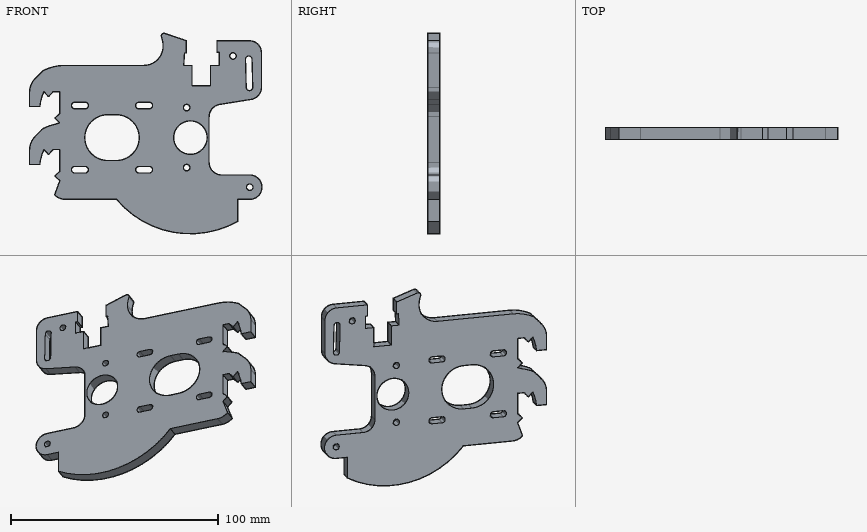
import cadquery as cq
import math


length = 112.3
thickness = 6.0
deck_z = 81.5
belly_radius = 46.5
belly_x = 77.7
belly_end_x = 100.7
belly_z = belly_radius
bolt_diameter = 3.0

hook_pitch = 28.0
hook_tip_z = 61.5
hook_tip_width = 5.0
hook_roof_z = 68.6
hook_wall_x = 14.6
hook_flank_z = 68.4
hook_corner_x = 2.5
hook_corner_z = 74.8
hook_back_x = 6.5
hook_back_z = 78.9
hook_crest_x = 17.0
lower_back_x = 12.4
hook_bulge = 0.28
tooth_depth = 2.4
tooth_half_width = 2.2
roof_tooth_x = 9.2
wall_tooth_z = 56.0

foot_x = 12.1
foot_z = 18.9
foot_flat_x = 17.3

horn_root_x = 55.3
horn_root_radius = 9.2
horn_neck_radius = 13.5
horn_tip_radius = 1.3
horn_top_z = 97.0

arm_top_z = 93.4
arm_right_x = 112.1
notch_mouth_left_x = 75.8
notch_mouth_right_x = 90.5
notch_lip_left_z = 87.3
notch_lip_right_z = 87.6
notch_pocket_left_top_x = 74.9
notch_pocket_left_x = 74.6
notch_pocket_right_x = 91.6
notch_stem_left_x = 78.5
notch_stem_right_x = 87.4
notch_floor_z = 71.7

bay_x = 86.8
bay_top_inner_z = 61.7
bay_top_outer_z = 65.7
corner_radius = 6.0

lug_radius = 6.0
lug_x = length - lug_radius
lug_z = 22.6
base_z = lug_z - lug_radius

motor_x = 39.9
motor_bolt_pitch = 31.0
motor_travel = 4.2
motor_opening = 22.0
mount_slot_travel = 5.0

bearing_diameter = 16.1
bearing_bolt_x = 75.9
bearing_bolt_pitch = 29.0
arm_hole = (98.3, 85.9)
arm_slot_top = (105.9, 84.4)
arm_slot_bottom = (106.3, 70.8)


def on_circle(center, radius, angle):
    """Point of a circle at an angle in radians from +X."""
    return (center[0] + radius * math.cos(angle), center[1] + radius * math.sin(angle))


def direction(start, end):
    """Angle in radians of the line from start to end."""
    return math.atan2(end[1] - start[1], end[0] - start[0])


def add_hook(sketch, drop, start_x):
    """Draw one hook from start_x on its back arc to the foot of the tooth on its wall."""
    crest_run = hook_crest_x - hook_back_x
    crest_rise = deck_z - hook_back_z
    back_radius = (crest_run**2 + crest_rise**2) / (2 * crest_rise)
    back = (hook_crest_x, deck_z - back_radius - drop)
    back_end = (hook_back_x, hook_back_z - drop)
    back_angle = math.acos((start_x - hook_crest_x) / back_radius)
    back_middle_angle = (back_angle + direction(back, back_end)) / 2

    corner_rise = hook_corner_z - hook_flank_z
    outer_radius = (hook_corner_x**2 + corner_rise**2) / (2 * hook_corner_x)
    corner = (outer_radius, hook_flank_z - drop)
    corner_start = (hook_corner_x, hook_corner_z - drop)
    corner_middle_angle = (direction(corner, corner_start) + math.pi) / 2

    flank_bottom = (hook_tip_width, hook_tip_z - drop)
    flank_top = (roof_tooth_x - tooth_half_width, hook_roof_z - drop)
    return (
        sketch.lineTo(*on_circle(back, back_radius, back_angle))
        .threePointArc(on_circle(back, back_radius, back_middle_angle), back_end)
        .lineTo(*corner_start)
        .threePointArc(on_circle(corner, outer_radius, corner_middle_angle), (0, hook_flank_z - drop))
        .lineTo(0, hook_tip_z - drop)
        .lineTo(*flank_bottom)
        .sagittaArc(flank_top, hook_bulge)
        .lineTo(roof_tooth_x, hook_roof_z - tooth_depth - drop)
        .lineTo(roof_tooth_x + tooth_half_width, hook_roof_z - drop)
        .lineTo(hook_wall_x, hook_roof_z - drop)
        .lineTo(hook_wall_x, wall_tooth_z + tooth_half_width - drop)
        .lineTo(hook_wall_x - tooth_depth, wall_tooth_z - drop)
        .lineTo(hook_wall_x, wall_tooth_z - tooth_half_width - drop)
    )


def add_foot(sketch):
    """Draw the slanted, rounded foot and the flat base up to the round bottom edge."""
    belly_left_x = belly_x - math.sqrt(belly_radius**2 - (belly_z - base_z) ** 2)
    foot = (foot_x, foot_z)
    foot_radius = ((foot_flat_x - foot_x) ** 2 + (foot_z - base_z) ** 2) / (2 * (foot_z - base_z))
    center = (foot_flat_x, base_z + foot_radius)
    middle_angle = (direction(center, foot) - math.pi / 2) / 2
    return (
        sketch.lineTo(*foot)
        .threePointArc(on_circle(center, foot_radius, middle_angle), (foot_flat_x, base_z))
        .lineTo(belly_left_x, base_z)
    )


def add_belly_and_lug(sketch):
    """Draw the round bottom edge, the step and the lug, up to the sharp lower bay corner."""
    belly_end_z = belly_z - math.sqrt(belly_radius**2 - (belly_end_x - belly_x) ** 2)
    return (
        sketch.threePointArc((belly_x, 0), (belly_end_x, belly_end_z))
        .lineTo(belly_end_x, base_z)
        .lineTo(lug_x, base_z)
        .threePointArc((length, lug_z), (lug_x, lug_z + lug_radius))
        .lineTo(bay_x, lug_z + lug_radius)
    )


def add_arm_and_notch(sketch):
    """Draw the arm with sharp corners and the stepped notch, up to the root of the horn."""
    return (
        sketch.lineTo(bay_x, bay_top_inner_z)
        .lineTo(arm_right_x, bay_top_outer_z)
        .lineTo(arm_right_x, arm_top_z)
        .lineTo(notch_mouth_right_x, arm_top_z)
        .lineTo(notch_mouth_right_x, notch_lip_right_z)
        .lineTo(notch_pocket_right_x, notch_lip_right_z)
        .lineTo(notch_pocket_right_x, deck_z)
        .lineTo(notch_stem_right_x, deck_z)
        .lineTo(notch_stem_right_x, notch_floor_z)
        .lineTo(notch_stem_left_x, notch_floor_z)
        .lineTo(notch_stem_left_x, deck_z)
        .lineTo(notch_pocket_left_x, deck_z)
        .lineTo(notch_pocket_left_top_x, notch_lip_left_z)
        .lineTo(notch_mouth_left_x, notch_lip_left_z)
        .lineTo(notch_mouth_left_x, arm_top_z)
    )


def add_horn(sketch):
    """Draw the horn: slanted top, round tip, hollow neck, and a root arc down to the deck."""
    root = (horn_root_x, deck_z + horn_root_radius)
    waist = (horn_root_x + horn_root_radius, root[1])
    neck = (waist[0] - horn_neck_radius, waist[1])

    tip_z = horn_top_z - horn_tip_radius
    tip_reach = math.sqrt((horn_neck_radius + horn_tip_radius) ** 2 - (tip_z - neck[1]) ** 2)
    tip = (neck[0] + tip_reach, tip_z)
    join_angle = direction(neck, tip)
    shoulder = (notch_mouth_left_x, arm_top_z)
    touch_angle = direction(tip, shoulder) + math.acos(horn_tip_radius / math.dist(tip, shoulder))
    return (
        sketch.lineTo(*on_circle(tip, horn_tip_radius, touch_angle))
        .threePointArc(
            on_circle(tip, horn_tip_radius, (touch_angle + join_angle + math.pi) / 2),
            on_circle(tip, horn_tip_radius, join_angle + math.pi),
        )
        .threePointArc(on_circle(neck, horn_neck_radius, join_angle / 2), waist)
        .threePointArc(on_circle(root, horn_root_radius, -math.pi / 4), (horn_root_x, deck_z))
    )


def make_plate():
    """Extrude the outline and round the corners of the bay and the arm."""
    sketch = cq.Workplane("XZ").moveTo(horn_root_x, deck_z)
    sketch = add_hook(sketch, 0, hook_crest_x)
    sketch = add_hook(sketch, hook_pitch, lower_back_x)
    sketch = add_foot(sketch)
    sketch = add_belly_and_lug(sketch)
    sketch = add_arm_and_notch(sketch)
    sketch = add_horn(sketch)
    plate = sketch.close().extrude(thickness)

    sharp_corners = [
        (bay_x, lug_z + lug_radius),
        (bay_x, bay_top_inner_z),
        (arm_right_x, bay_top_outer_z),
        (arm_right_x, arm_top_z),
    ]
    for x, z in sharp_corners:
        corner_edge = cq.selectors.NearestToPointSelector((x, -thickness / 2, z))
        plate = plate.edges(corner_edge).fillet(corner_radius)
    return plate


def round_holes(points, diameter):
    """Through holes at the given points."""
    return cq.Workplane("XZ").pushPoints(points).circle(diameter / 2).extrude(thickness)


def long_holes(points, travel, width, angle=0):
    """Through slots centred on the given points; travel is the distance between end centres."""
    return cq.Workplane("XZ").pushPoints(points).slot2D(travel + width, width, angle).extrude(thickness)


def motor_mount():
    """Motor opening with its square of four adjusting slots."""
    half_pitch = motor_bolt_pitch / 2
    slots = [
        (motor_x + side * half_pitch, belly_z + level * half_pitch)
        for side in (-1, 1)
        for level in (-1, 1)
    ]
    opening = long_holes([(motor_x, belly_z)], motor_travel, motor_opening)
    return opening.union(long_holes(slots, mount_slot_travel, bolt_diameter))


def bearing_seat():
    """Bearing hole with a bolt hole above and below it."""
    bolts = [(bearing_bolt_x, belly_z + level * bearing_bolt_pitch / 2) for level in (-1, 1)]
    seat = round_holes([(belly_x, belly_z)], bearing_diameter)
    return seat.union(round_holes(bolts, bolt_diameter))


def arm_slot():
    """Slightly tilted slot in the arm."""
    center = tuple((top + bottom) / 2 for top, bottom in zip(arm_slot_top, arm_slot_bottom))
    travel = math.dist(arm_slot_top, arm_slot_bottom)
    tilt = math.degrees(direction(arm_slot_bottom, arm_slot_top))
    return long_holes([center], travel, bolt_diameter, tilt)


result = (
    make_plate()
    .cut(motor_mount())
    .cut(bearing_seat())
    .cut(arm_slot())
    .cut(round_holes([arm_hole, (lug_x, lug_z)], bolt_diameter))
)